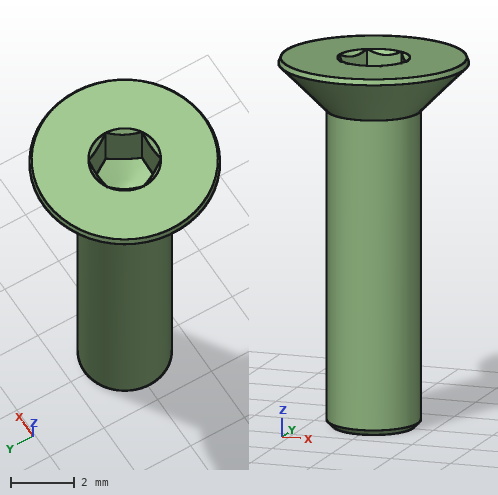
import cadquery as cq
import math

total_length = 12.0

head_diameter = 6.047
head_height = 1.7
rim_top_diameter = 5.9

shank_diameter = 3.0
tip_chamfer = 0.2

socket_across_flats = 2.0
socket_depth = 1.6
socket_floor_angle = 140.0
lead_in_diameter = 2.3

head_radius = head_diameter / 2
rim_top_radius = rim_top_diameter / 2
shank_radius = shank_diameter / 2
head_base_z = total_length - head_height
rim_base_z = head_base_z + (head_radius - shank_radius)

socket_corner_radius = socket_across_flats / math.sqrt(3)
lead_in_radius = lead_in_diameter / 2
socket_floor_z = total_length - socket_depth
floor_cone_height = socket_corner_radius / math.tan(math.radians(socket_floor_angle / 2))
socket_bottom_z = socket_floor_z - floor_cone_height


def revolve_profile(points):
    """Solid of revolution about Z from an outline of (radius, z) points."""
    return cq.Workplane("XZ").polyline(points).close().revolve(360, (0, 0), (0, 1))


def make_screw_blank():
    """Shank, countersunk head and tapered rim, with the chamfered tip at Z = 0."""
    return revolve_profile([
        (0, 0),
        (shank_radius - tip_chamfer, 0),
        (shank_radius, tip_chamfer),
        (shank_radius, head_base_z),
        (head_radius, rim_base_z),
        (rim_top_radius, total_length),
        (0, total_length),
    ])


def make_socket():
    """Hexagon with two corners along X, a conical floor and a 45 degree lead-in."""
    prism = (
        cq.Workplane("XY")
        .workplane(offset=socket_bottom_z)
        .polygon(6, 2 * socket_corner_radius)
        .extrude(total_length - socket_bottom_z)
    )
    bore = revolve_profile([
        (0, socket_bottom_z),
        (socket_corner_radius, socket_floor_z),
        (socket_corner_radius, total_length),
        (0, total_length),
    ])
    lead_in = revolve_profile([
        (0, total_length - lead_in_radius),
        (lead_in_radius, total_length),
        (0, total_length),
    ])
    return prism.intersect(bore).union(lead_in)


result = make_screw_blank().cut(make_socket())